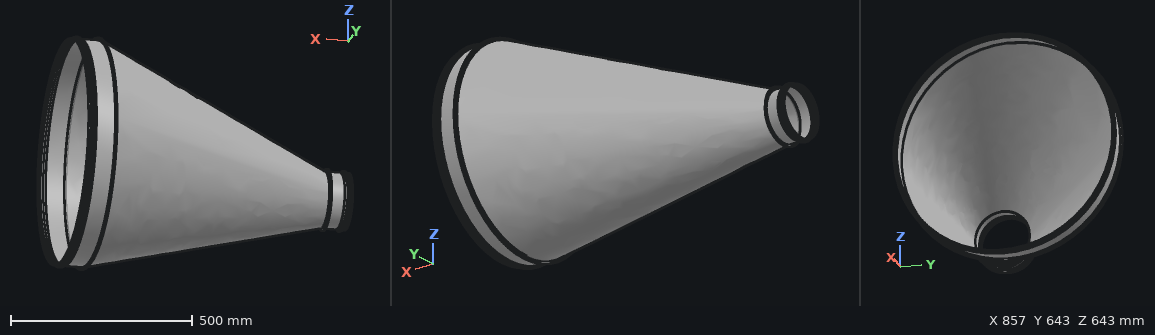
import cadquery as cq

LENGTH = 857.0

SMALL_DIAMETER = 159.0
SMALL_WALL = 0.5
SMALL_NECK_LENGTH = 62.0

LARGE_DIAMETER = 629.0
LARGE_WALL = 0.7
LARGE_NECK_LENGTH = 76.0

SMALL_AXIS_Y = -(LARGE_DIAMETER - SMALL_DIAMETER) / 2

SEAM_HEIGHT = 7.0
FLANGE_THICKNESS = 1.0

COLLAR_LENGTH = 6.0

GROOVE_START = 6.0
GROOVE_END = 24.0
GROOVE_SLOPE = 2.0
GROOVE_DEPTH = 2.15

SEAL_START = 9.0
SEAL_END = 15.5
SEAL_SHOULDER = 2.0
SEAL_BODY_HEIGHT = 3.0
SEAL_LIP_HEIGHT = 5.0
SEAL_LIP_TIP = 1.0
SEAL_LIP_ROOT = 3.5


def revolved(profile):
    """Turn a closed (distance, radius) outline about the X axis."""
    return cq.Workplane("XY").polyline(profile).close().revolve(360, (0, 0), (1, 0))


def at_small_end(body):
    """Move a body built from its open end at X = 0 onto the small axis."""
    return body.translate((0, SMALL_AXIS_Y, 0))


def at_large_end(body):
    """Turn a body built from its open end at X = 0 round to face the far end."""
    return body.mirror("YZ").translate((LENGTH, 0, 0))


def make_neck(diameter, wall, length):
    """Sheet-metal neck with a rolled seal groove and a flange at its inner end."""
    radius = diameter / 2
    floor = radius - GROOVE_DEPTH
    flange_face = length - FLANGE_THICKNESS
    flange_radius = radius + SEAM_HEIGHT
    surface = [
        (0, radius),
        (GROOVE_START, radius),
        (GROOVE_START + GROOVE_SLOPE, floor),
        (GROOVE_END - GROOVE_SLOPE, floor),
        (GROOVE_END, radius),
    ]
    flange = [
        (flange_face, radius),
        (flange_face, flange_radius),
        (length, flange_radius),
        (length, radius - wall),
    ]
    bore = [(distance, r - wall) for distance, r in reversed(surface)]
    return revolved(surface + flange + bore)


def make_seal(diameter):
    """Seal ring with a chamfered front shoulder and a raised lip that leans back."""
    radius = diameter / 2
    floor = radius - GROOVE_DEPTH
    body_radius = radius + SEAL_BODY_HEIGHT
    lip_radius = radius + SEAL_LIP_HEIGHT
    return revolved([
        (SEAL_START, floor),
        (SEAL_START, body_radius - SEAL_SHOULDER),
        (SEAL_START + SEAL_SHOULDER, body_radius),
        (SEAL_END - SEAL_LIP_ROOT, body_radius),
        (SEAL_END - SEAL_LIP_TIP, lip_radius),
        (SEAL_END, lip_radius),
        (SEAL_END, floor),
    ])


def disc(x, axis_y, diameter, thickness):
    """Solid disc facing +X from the given X position."""
    return cq.Workplane("YZ", origin=(x, axis_y, 0)).circle(diameter / 2).extrude(thickness)


def make_cone():
    """Oblique sheet-metal cone with a straight collar and a seam flange at each end."""
    small_seam = SMALL_NECK_LENGTH
    large_seam = LENGTH - LARGE_NECK_LENGTH
    taper_start = small_seam + COLLAR_LENGTH
    taper_end = large_seam - COLLAR_LENGTH

    def filled(small_diameter, large_diameter):
        taper = (
            cq.Workplane("YZ", origin=(taper_start, SMALL_AXIS_Y, 0))
            .circle(small_diameter / 2)
            .workplane(offset=taper_end - taper_start)
            .center(-SMALL_AXIS_Y, 0)
            .circle(large_diameter / 2)
            .loft(ruled=True)
        )
        small_collar = disc(small_seam, SMALL_AXIS_Y, small_diameter, COLLAR_LENGTH)
        large_collar = disc(taper_end, 0, large_diameter, COLLAR_LENGTH)
        return taper.union(small_collar).union(large_collar)

    small_flange = disc(small_seam, SMALL_AXIS_Y, SMALL_DIAMETER + 2 * SEAM_HEIGHT, FLANGE_THICKNESS)
    large_flange = disc(large_seam, 0, LARGE_DIAMETER + 2 * SEAM_HEIGHT, -FLANGE_THICKNESS)
    outside = filled(SMALL_DIAMETER, LARGE_DIAMETER).union(small_flange).union(large_flange)
    inside = filled(SMALL_DIAMETER - 2 * SMALL_WALL, LARGE_DIAMETER - 2 * LARGE_WALL)
    return outside.cut(inside).solids()


cone = make_cone()
small_neck = at_small_end(make_neck(SMALL_DIAMETER, SMALL_WALL, SMALL_NECK_LENGTH))
large_neck = at_large_end(make_neck(LARGE_DIAMETER, LARGE_WALL, LARGE_NECK_LENGTH))
small_seal = at_small_end(make_seal(SMALL_DIAMETER))
large_seal = at_large_end(make_seal(LARGE_DIAMETER))

result = cq.Compound.makeCompound([
    cone.val(),
    small_neck.val(),
    large_neck.val(),
    small_seal.val(),
    large_seal.val(),
])